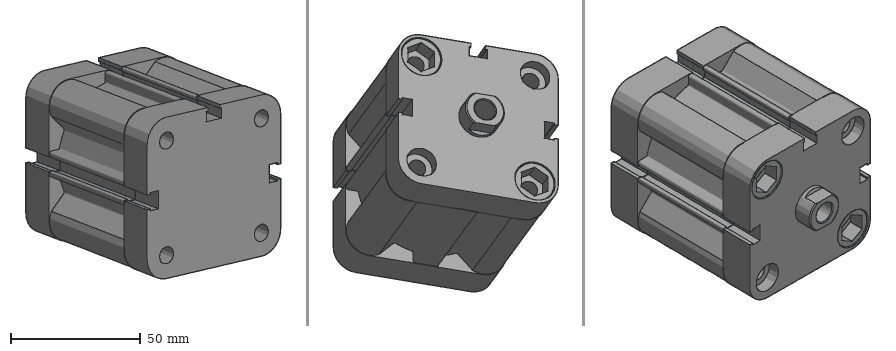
import cadquery as cq
import math

cap_length = 14.7
barrel_length = 47.1
barrel_start = cap_length
rear_cap_start = barrel_start + barrel_length

cap_width = 65.5
cap_half = cap_width / 2
corner_spacing = 46.5
corner_center = corner_spacing / 2
cap_corner_radius = cap_half - corner_center

through_diameter = 6.8
counterbore_diameter = 12.0
counterbore_depth = 5.0
head_diameter = 16.0
head_clearance = 0.25
head_pocket_diameter = head_diameter + 2 * head_clearance
head_recess = 0.5
head_groove_depth = 1.0
hexagon_across_flats = 11.0
hexagon_depth = 6.5

cap_mouth_width = 6.0
cap_channel_width = 7.4
lip_depth = 1.6
cap_slot_depth = 5.65
barrel_setback = 0.25
barrel_mouth_width = cap_mouth_width - 2 * barrel_setback
barrel_channel_width = cap_channel_width - 2 * barrel_setback
barrel_slot_depth = cap_slot_depth - 2 * barrel_setback
slot_edge_radius = 0.6

barrel_half = cap_half - barrel_setback
barrel_corner_radius = barrel_half - corner_center
tube_radius = 28.2
rib_half_width = 5.25
rib_top_radius = 1.0
rib_root_radius = 0.6
flank_start = 19.25
flank_root_radius = 1.0
length_tolerance = 0.001

rod_diameter = 16.0
rod_reach = 8.0
rod_chamfer = 0.5
rod_flat_length = 6.0
rod_across_flats = 13.0
flat_end_slope = 15.0
rod_hole_diameter = 8.5
rod_hole_mouth_diameter = 9.3
rod_hole_depth = 16.0
rod_hole_tip_angle = 120.0


def section(start):
    """Sketch plane across the axis: its X is the part's Y, its Y is the part's Z, extruding along +X."""
    return cq.Workplane("YZ", origin=(start, 0, 0))


def round_hole(center, diameter, start, length):
    return section(start).center(*center).circle(diameter / 2).extrude(length)


def sensor_slots(start, length, half_width, mouth_width, channel_width, slot_depth):
    """The slot cutters of the -Y, +Z and +Y sides; the -Z side has none."""
    channel_height = slot_depth - lip_depth
    mouth = section(start).center(0, half_width - slot_depth / 2).rect(mouth_width, slot_depth)
    channel = section(start).center(0, half_width - lip_depth - channel_height / 2)
    channel = channel.rect(channel_width, channel_height)
    top_slot = mouth.extrude(length).union(channel.extrude(length))
    slots = top_slot
    for angle in (-90, 90):
        slots = slots.union(top_slot.rotate((0, 0, 0), (1, 0, 0), angle))
    return slots


corners = [(y * corner_center, z * corner_center) for y in (-1, 1) for z in (-1, 1)]
head_corners = [(y, z) for y, z in corners if y * z > 0]
counterbore_corners = [(y, z) for y, z in corners if y * z < 0]


def end_cap(start):
    cap = section(start).rect(cap_width, cap_width).extrude(cap_length)
    cap = cap.edges("|X").fillet(cap_corner_radius)
    cap = cap.cut(sensor_slots(start, cap_length, cap_half, cap_mouth_width,
                               cap_channel_width, cap_slot_depth))
    for corner in corners:
        cap = cap.cut(round_hole(corner, through_diameter, start, cap_length))
    return cap


def socket_head_cutter(corner):
    """Leaves a round head with a hexagon socket, sunk below the cap face inside a narrow ring groove."""
    pocket = round_hole(corner, head_pocket_diameter, 0, head_recess + head_groove_depth)
    head = round_hole(corner, head_diameter, head_recess, head_groove_depth)
    hexagon_diameter = hexagon_across_flats / math.cos(math.pi / 6)
    hexagon = section(head_recess).center(*corner).polygon(6, hexagon_diameter).extrude(hexagon_depth)
    hexagon = hexagon.rotate((0, *corner), (1, *corner), 30)
    return pocket.cut(head).union(hexagon)


def front_cap_body():
    cap = end_cap(0)
    for corner in counterbore_corners:
        cap = cap.cut(round_hole(corner, counterbore_diameter, 0, counterbore_depth))
    for corner in head_corners:
        cap = cap.cut(socket_head_cutter(corner))
    return cap.cut(round_hole((0, 0), rod_diameter, 0, cap_length))


def corner_post():
    """One round corner of the barrel with the two 45 degree flanks that run from it into the tube."""
    rise = math.sqrt(barrel_corner_radius**2 - (corner_center - flank_start) ** 2)
    flank_height = corner_center + rise
    flank_foot = flank_height - flank_start
    diagonal = corner_center + barrel_corner_radius * math.sqrt(0.5)
    return (
        section(barrel_start)
        .moveTo(flank_start, flank_height)
        .threePointArc((diagonal, diagonal), (flank_height, flank_start))
        .lineTo(flank_foot, 0)
        .lineTo(0, 0)
        .lineTo(0, flank_foot)
        .close()
        .extrude(barrel_length)
    )


def same(length, other):
    return abs(length - other) < length_tolerance


def on_tube(near, far):
    return same(math.hypot(near, far), tube_radius)


def on_rib_top(far):
    return same(far, barrel_half)


def on_rib_side(near):
    return same(near, rib_half_width)


def fillet_lengthwise(body, radius, is_wanted):
    """Fillet the edges along X whose distances from the two mid-planes satisfy is_wanted(near, far)."""
    wanted = []
    for edge in body.edges("|X").vals():
        center = edge.Center()
        near, far = sorted((abs(center.y), abs(center.z)))
        if is_wanted(near, far):
            wanted.append(edge)
    return body.newObject(wanted).fillet(radius)


def barrel_body():
    barrel = round_hole((0, 0), 2 * tube_radius, barrel_start, barrel_length)
    for angle in (0, 90, 180, 270):
        barrel = barrel.union(corner_post().rotate((0, 0, 0), (1, 0, 0), angle))
    rib_width = 2 * rib_half_width
    barrel = barrel.union(section(barrel_start).rect(rib_width, 2 * barrel_half).extrude(barrel_length))
    barrel = barrel.union(section(barrel_start).rect(2 * barrel_half, rib_width).extrude(barrel_length))
    barrel = barrel.cut(sensor_slots(barrel_start, barrel_length, barrel_half, barrel_mouth_width,
                                     barrel_channel_width, barrel_slot_depth))

    barrel = fillet_lengthwise(
        barrel, flank_root_radius, lambda near, far: on_tube(near, far) and not on_rib_side(near))
    barrel = fillet_lengthwise(
        barrel, rib_root_radius, lambda near, far: on_tube(near, far) and on_rib_side(near))
    barrel = fillet_lengthwise(
        barrel, rib_top_radius, lambda near, far: on_rib_top(far) and on_rib_side(near))
    barrel = fillet_lengthwise(
        barrel, slot_edge_radius, lambda near, far: on_rib_top(far) and same(near, barrel_mouth_width / 2))
    for corner in corners:
        barrel = barrel.cut(round_hole(corner, through_diameter, barrel_start, barrel_length))
    return barrel


def wrench_flat_cutter():
    """Removes the rod above its upper flat; its end wall leans towards the cap."""
    flat_height = rod_across_flats / 2
    rise = rod_diameter / 2
    lean = rise * math.tan(math.radians(flat_end_slope))
    return (
        cq.Workplane("XZ", origin=(-rod_reach, rod_diameter / 2, flat_height))
        .lineTo(rod_flat_length, 0)
        .lineTo(rod_flat_length + lean, rise)
        .lineTo(0, rise)
        .close()
        .extrude(rod_diameter)
    )


def rod_hole():
    """Blind hole with a conical bottom and a 45 degree countersunk mouth, opening at the rod's front end."""
    radius = rod_hole_diameter / 2
    mouth_radius = rod_hole_mouth_diameter / 2
    tip_length = radius / math.tan(math.radians(rod_hole_tip_angle / 2))
    return (
        cq.Workplane("XY", origin=(-rod_reach, 0, 0))
        .lineTo(0, mouth_radius)
        .lineTo(mouth_radius - radius, radius)
        .lineTo(rod_hole_depth, radius)
        .lineTo(rod_hole_depth + tip_length, 0)
        .close()
        .revolve(360, (0, 0, 0), (1, 0, 0))
    )


def rod_body():
    rod = round_hole((0, 0), rod_diameter, -rod_reach, rod_reach + cap_length)
    rod = rod.faces("<X").chamfer(rod_chamfer)
    for angle in (0, 180):
        rod = rod.cut(wrench_flat_cutter().rotate((0, 0, 0), (1, 0, 0), angle))
    return rod.cut(rod_hole())


front_cap = front_cap_body()
barrel = barrel_body()
rear_cap = end_cap(rear_cap_start)
piston_rod = rod_body()
result = cq.Compound.makeCompound([front_cap.val(), barrel.val(), rear_cap.val(), piston_rod.val()])